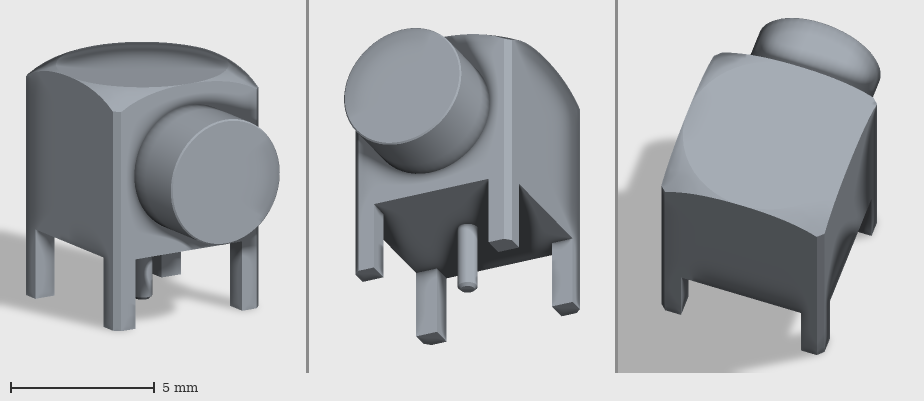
import cadquery as cq
import math

body_width = 6.0
total_height = 8.5
leg_height = 2.5
leg_width = 0.8
corner_chamfer = 0.21

crown_radius = 3.0
crown_start_angle = 17.0

coupling_diameter = 4.5
coupling_length = 2.4
coupling_edge_chamfer = 0.05

pin_diameter = 0.7
pin_length = 2.4
pin_tip_chamfer = 0.1

body_height = total_height - leg_height
half_width = body_width / 2
coupling_height = leg_height + body_height / 2


def make_housing():
    """Square prism with chamfered corners and a cross of clearance below it that leaves the legs."""
    housing = (
        cq.Workplane("XY")
        .rect(body_width, body_width)
        .extrude(total_height)
        .edges("|Z")
        .chamfer(corner_chamfer)
    )
    gap = body_width - 2 * leg_width
    for size_x, size_y in ((gap, body_width), (body_width, gap)):
        clearance = cq.Workplane("XY").rect(size_x, size_y).extrude(leg_height)
        housing = housing.cut(clearance)
    return housing


def make_crown_envelope():
    """Solid of revolution about Z whose domed rim trims the top corners of the housing."""
    start_angle = math.radians(crown_start_angle)
    arc_center_x = half_width - crown_radius * math.sin(start_angle)
    arc_center_z = total_height - crown_radius * math.cos(start_angle)
    outer_radius = half_width * math.sqrt(2)
    end_angle = math.asin((outer_radius - arc_center_x) / crown_radius)

    def arc_point(angle):
        return (
            arc_center_x + crown_radius * math.sin(angle),
            arc_center_z + crown_radius * math.cos(angle),
        )

    return (
        cq.Workplane("XZ")
        .lineTo(0, total_height)
        .lineTo(half_width, total_height)
        .threePointArc(arc_point((start_angle + end_angle) / 2), arc_point(end_angle))
        .lineTo(outer_radius, 0)
        .close()
        .revolve(360, (0, 0, 0), (0, 1, 0))
    )


def make_coupling():
    """Cylinder along +X, rooted at the centre of the housing."""
    return (
        cq.Workplane("YZ")
        .center(0, coupling_height)
        .circle(coupling_diameter / 2)
        .extrude(half_width + coupling_length)
        .faces(">X")
        .chamfer(coupling_edge_chamfer)
    )


def make_pin():
    """Contact pin hanging from the underside of the housing."""
    return (
        cq.Workplane("XY")
        .workplane(offset=leg_height)
        .circle(pin_diameter / 2)
        .extrude(-pin_length)
        .faces("<Z")
        .chamfer(pin_tip_chamfer)
    )


housing = make_housing().intersect(make_crown_envelope())
result = housing.union(make_coupling()).union(make_pin())